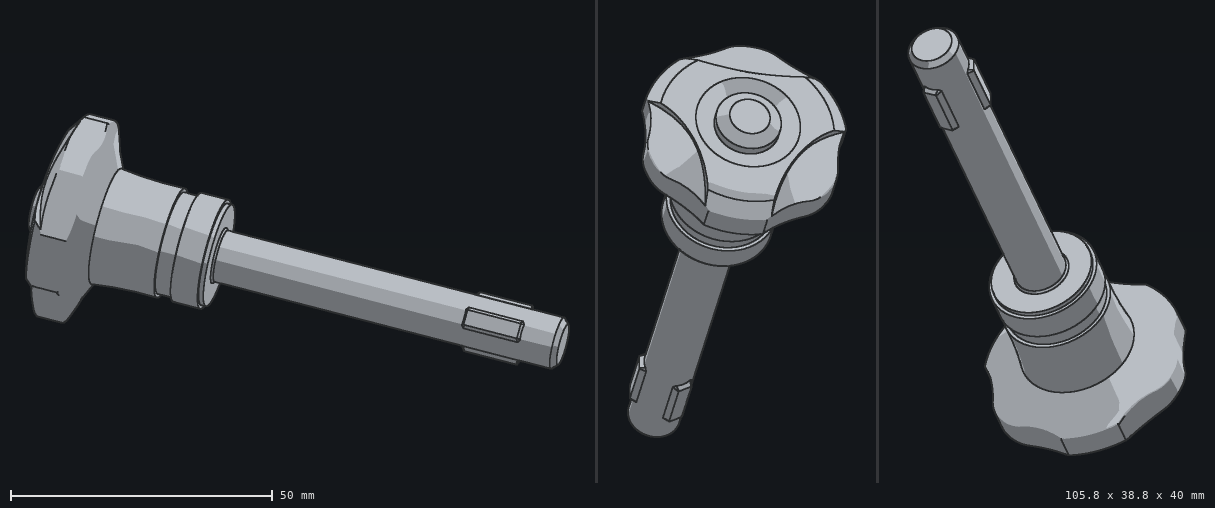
import cadquery as cq
import math

TOTAL_LENGTH = 105.8

BUTTON_RADIUS = 6.3
BUTTON_TOP_RADIUS = 3.9
BUTTON_CHAMFER_LENGTH = 1.5
RECESS_RADIUS = 10.2
RECESS_FLOOR_X = 3.4

KNOB_RADIUS = 20.0
FACE_X = 2.0
CROWN_RADIUS = 17.0
CROWN_X = 3.6
CROWN_ARC_RADIUS = 13.9
CROWN_ARC_X = 2.6
RIM_FRONT_X = 5.8
RIM_BACK_X = 10.8
BACK_ARC_RADIUS = 14.6
BACK_ARC_X = 12.7
RIM_FILLET = 0.3

LOBE_GROUPS = 3
CROWN_LOBE_ANGLE = 26.0
DISHED_LOBE_ANGLE = CROWN_LOBE_ANGLE + 180.0 / LOBE_GROUPS
SCALLOP_OFFSET = 33.2
SCALLOP_RADIUS = 19.0
VALLEY_RADIUS = 18.3
LOBE_BLEND = 7.2

DISH_INNER_RADIUS = 11.5
DISH_WALL_RADIUS = 38.1
DISH_WALL_DRAFT = 16.0
DISH_FLOOR_X = 2.5
DISH_FLOOR_SLOPE = 20.5

HUB_START_X = 14.4
HUB_START_RADIUS = 11.4
HUB_MIDDLE_X = 19.6
HUB_MIDDLE_RADIUS = 10.9
GROOVE_START_X = 27.3
GROOVE_END_X = 30.6
GROOVE_RADIUS = 10.0
COLLAR_END_X = 36.0
COLLAR_RADIUS = 10.8
STEP_END_X = 36.9

SHANK_RADIUS = 5.1
ROOT_CHAMFER = 0.4
TIP_CHAMFER = 1.1

PAD_COUNT = 3
PAD_CENTRE_X = 92.6
PAD_LENGTH = 12.0
PAD_WIDTH = 4.2
PAD_TOP = 5.9
PAD_BOTTOM = 4.5
PAD_CORNER_CHAMFER = 0.5
PAD_TAPER = 25.0

CUT_MARGIN = 3.2


def ring_angles(first, count):
    """Evenly spaced angles around the pin axis."""
    return [first + 360.0 * i / count for i in range(count)]


def turn(shape, angle):
    """Turn a shape built around +Y about the pin axis; 90 degrees points to +Z, 0 to -Y."""
    return shape.rotate((0, 0, 0), (1, 0, 0), 180.0 - angle)


def revolve_about_axis(profile):
    """Close a half profile and spin it into a round body about X."""
    return profile.close().revolve(360, (0, 0, 0), (1, 0, 0))


def make_knob_blank():
    """Round knob with a recessed front, a domed crown and a hollow-curved back."""
    profile = (
        cq.Workplane("XY")
        .moveTo(RECESS_FLOOR_X, 0)
        .lineTo(RECESS_FLOOR_X, BUTTON_RADIUS)
        .lineTo(FACE_X, RECESS_RADIUS)
        .threePointArc((CROWN_ARC_X, CROWN_ARC_RADIUS), (CROWN_X, CROWN_RADIUS))
        .lineTo(RIM_FRONT_X, KNOB_RADIUS)
        .lineTo(RIM_BACK_X, KNOB_RADIUS)
        .threePointArc((BACK_ARC_X, BACK_ARC_RADIUS), (HUB_START_X, HUB_START_RADIUS))
        .lineTo(HUB_START_X, 0)
    )
    return revolve_about_axis(profile)


def make_lobe_prism():
    """Round bar with a pair of scallops beside every dished lobe, whose own corners are rounded."""
    length = HUB_START_X
    bar = cq.Workplane("YZ").circle(KNOB_RADIUS).extrude(length)
    scallop = (
        cq.Workplane("YZ").center(VALLEY_RADIUS + SCALLOP_RADIUS, 0).circle(SCALLOP_RADIUS).extrude(length)
    )
    for lobe in ring_angles(CROWN_LOBE_ANGLE, LOBE_GROUPS):
        for side in (-1, 1):
            bar = bar.cut(turn(scallop, lobe + side * SCALLOP_OFFSET))
    scallop_centre = VALLEY_RADIUS + SCALLOP_RADIUS
    cosine = (KNOB_RADIUS**2 + scallop_centre**2 - SCALLOP_RADIUS**2) / (2 * KNOB_RADIUS * scallop_centre)
    corner_offset = SCALLOP_OFFSET + math.degrees(math.acos(cosine))
    for lobe in ring_angles(CROWN_LOBE_ANGLE, LOBE_GROUPS):
        for side in (-1, 1):
            angle = math.radians(lobe + side * corner_offset)
            corner = (length / 2, -KNOB_RADIUS * math.cos(angle), KNOB_RADIUS * math.sin(angle))
            bar = bar.edges(cq.selectors.NearestToPointSelector(corner)).fillet(LOBE_BLEND)
    return bar


def make_dish_cutter():
    """Space in front of a conical floor, limited towards the axis by a round drafted wall."""
    reach = KNOB_RADIUS + CUT_MARGIN
    floor_rise = (reach - DISH_INNER_RADIUS) * math.tan(math.radians(DISH_FLOOR_SLOPE))
    core_rise = DISH_INNER_RADIUS * math.tan(math.radians(DISH_FLOOR_SLOPE))
    profile = (
        cq.Workplane("XY")
        .moveTo(-CUT_MARGIN, 0)
        .lineTo(DISH_FLOOR_X - core_rise, 0)
        .lineTo(DISH_FLOOR_X + floor_rise, reach)
        .lineTo(-CUT_MARGIN, reach)
    )
    above_floor = revolve_about_axis(profile)
    wall = (
        cq.Workplane("YZ", origin=(FACE_X, 0, 0))
        .center(DISH_INNER_RADIUS + DISH_WALL_RADIUS, 0)
        .circle(DISH_WALL_RADIUS)
        .extrude(RIM_BACK_X - FACE_X, taper=DISH_WALL_DRAFT)
    )
    return above_floor.intersect(wall)


def edges_between(shape, start_x, end_x):
    """Edges whose middle lies between two planes across the pin axis."""
    reach = KNOB_RADIUS + CUT_MARGIN
    return shape.edges(cq.selectors.BoxSelector((start_x, -reach, -reach), (end_x, reach, reach)))


def make_knob():
    """Lobed knob with rounded rims; the dished fronts are cut last."""
    knob = make_knob_blank().intersect(make_lobe_prism())
    knob = edges_between(knob, RIM_BACK_X - RIM_FILLET, BACK_ARC_X - RIM_FILLET).fillet(RIM_FILLET)
    knob = edges_between(knob, CROWN_X + RIM_FILLET, RIM_FRONT_X + RIM_FILLET).fillet(RIM_FILLET)
    dish = make_dish_cutter()
    for angle in ring_angles(DISHED_LOBE_ANGLE, LOBE_GROUPS):
        knob = knob.cut(turn(dish, angle))
    return knob


def make_button():
    """Round push button, bevelled at its outer end and sunk into the knob."""
    profile = (
        cq.Workplane("XY")
        .lineTo(0, BUTTON_TOP_RADIUS)
        .lineTo(BUTTON_CHAMFER_LENGTH, BUTTON_RADIUS)
        .lineTo(RIM_FRONT_X, BUTTON_RADIUS)
        .lineTo(RIM_FRONT_X, 0)
    )
    return revolve_about_axis(profile)


def make_hub_and_shank():
    """Waisted hub, groove, collar and the bevelled shank as one round body."""
    profile = (
        cq.Workplane("XY")
        .moveTo(RIM_BACK_X, 0)
        .lineTo(RIM_BACK_X, HUB_START_RADIUS)
        .lineTo(HUB_START_X, HUB_START_RADIUS)
        .threePointArc((HUB_MIDDLE_X, HUB_MIDDLE_RADIUS), (GROOVE_START_X, COLLAR_RADIUS))
        .lineTo(GROOVE_START_X, GROOVE_RADIUS)
        .lineTo(GROOVE_END_X, GROOVE_RADIUS)
        .lineTo(GROOVE_END_X, COLLAR_RADIUS)
        .lineTo(COLLAR_END_X, COLLAR_RADIUS)
        .lineTo(COLLAR_END_X, GROOVE_RADIUS)
        .lineTo(STEP_END_X, GROOVE_RADIUS)
        .lineTo(STEP_END_X, SHANK_RADIUS + ROOT_CHAMFER)
        .lineTo(STEP_END_X + ROOT_CHAMFER, SHANK_RADIUS)
        .lineTo(TOTAL_LENGTH - TIP_CHAMFER, SHANK_RADIUS)
        .lineTo(TOTAL_LENGTH, SHANK_RADIUS - TIP_CHAMFER)
        .lineTo(TOTAL_LENGTH, 0)
    )
    return revolve_about_axis(profile)


def make_pad():
    """Raised pad on the +Y side, with cut corners and sides that lean inwards."""
    half_length = PAD_LENGTH / 2
    half_width = PAD_WIDTH / 2
    outline = [
        (half_length, half_width - PAD_CORNER_CHAMFER),
        (half_length - PAD_CORNER_CHAMFER, half_width),
        (PAD_CORNER_CHAMFER - half_length, half_width),
        (-half_length, half_width - PAD_CORNER_CHAMFER),
        (-half_length, PAD_CORNER_CHAMFER - half_width),
        (PAD_CORNER_CHAMFER - half_length, -half_width),
        (half_length - PAD_CORNER_CHAMFER, -half_width),
        (half_length, PAD_CORNER_CHAMFER - half_width),
    ]
    plane = cq.Plane(origin=(PAD_CENTRE_X, PAD_BOTTOM, 0), xDir=(1, 0, 0), normal=(0, 1, 0))
    return cq.Workplane(plane).polyline(outline).close().extrude(PAD_TOP - PAD_BOTTOM, taper=PAD_TAPER)


result = make_knob().union(make_button()).union(make_hub_and_shank())
for pad_angle in ring_angles(180.0, PAD_COUNT):
    result = result.union(turn(make_pad(), pad_angle))